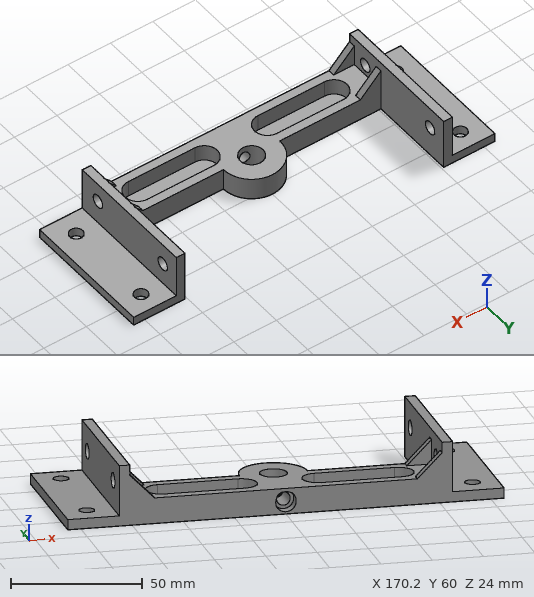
import cadquery as cq

length = 170.2
depth = 60.0
height = 24.0

flange_thickness = 4.0
flange_length = 20.0
wall_thickness = 4.0
wall_x = length / 2 - flange_length
wall_inner_x = wall_x - wall_thickness

bar_depth = 20.0
bar_height = 10.2
boss_diameter = 26.5
boss_hole_diameter = 10.5

gusset_size = 9.7
gusset_width = 3.0

pocket_length = 43.4
pocket_width = 12.0
pocket_depth = 7.5
pocket_center_x = 30.55
pocket_center_y = bar_depth / 2

mount_diameter = 6.0
mount_x = length / 2 - 9.9
mount_front_y = bar_depth / 2
mount_rear_y = depth - 8.7
wall_hole_front_z = 15.1
wall_hole_rear_z = 14.1

cross_hole_diameter = 5.3
counterbore_diameter = 8.0
counterbore_depth = 4.0
cross_hole_z = 5.0


def box(x_min, x_max, y_max, z_max):
    """Box standing on Z = 0 with its front face on Y = 0."""
    size_x = x_max - x_min
    return cq.Workplane("XY").box(size_x, y_max, z_max, centered=False).translate((x_min, 0, 0))


def bracket(side):
    """Flange and wall at one end; side is -1 (left) or +1 (right)."""
    flange_ends = sorted((side * wall_inner_x, side * length / 2))
    wall_ends = sorted((side * wall_inner_x, side * wall_x))
    flange = box(*flange_ends, depth, flange_thickness)
    wall = box(*wall_ends, depth, height)
    return flange.union(wall)


def gusset(side, y_start):
    """Triangular rib rising from the bar to the wall."""
    corner_x = side * wall_inner_x
    profile = [
        (corner_x, bar_height),
        (corner_x - side * gusset_size, bar_height),
        (corner_x, bar_height + gusset_size),
    ]
    rib = cq.Workplane("XZ").polyline(profile).close().extrude(-gusset_width)
    return rib.translate((0, y_start, 0))


def y_cylinder(diameter, y_length):
    """Cylinder running rearward from the front face on the cross hole axis."""
    return cq.Workplane("XZ").center(0, cross_hole_z).circle(diameter / 2).extrude(-y_length)


result = box(-wall_inner_x, wall_inner_x, bar_depth, bar_height)
boss = cq.Workplane("XY").center(0, bar_depth).circle(boss_diameter / 2).extrude(bar_height)
result = result.union(boss)

for side in (-1, 1):
    result = result.union(bracket(side))
    for y_start in (0, bar_depth - gusset_width):
        result = result.union(gusset(side, y_start))

pockets = (
    cq.Workplane("XY", origin=(0, pocket_center_y, bar_height))
    .pushPoints([(-pocket_center_x, 0), (pocket_center_x, 0)])
    .slot2D(pocket_length, pocket_width)
    .extrude(-pocket_depth)
)
result = result.cut(pockets)

boss_hole = cq.Workplane("XY").center(0, bar_depth).circle(boss_hole_diameter / 2).extrude(bar_height)
mount_points = [(side * mount_x, y) for side in (-1, 1) for y in (mount_front_y, mount_rear_y)]
flange_holes = (
    cq.Workplane("XY")
    .pushPoints(mount_points)
    .circle(mount_diameter / 2)
    .extrude(flange_thickness)
)
result = result.cut(boss_hole).cut(flange_holes)

wall_points = [(mount_front_y, wall_hole_front_z), (mount_rear_y, wall_hole_rear_z)]
wall_holes = (
    cq.Workplane("YZ")
    .pushPoints(wall_points)
    .circle(mount_diameter / 2)
    .extrude(wall_x, both=True)
)
result = result.cut(wall_holes)

result = result.cut(y_cylinder(cross_hole_diameter, bar_depth))
result = result.cut(y_cylinder(counterbore_diameter, counterbore_depth))